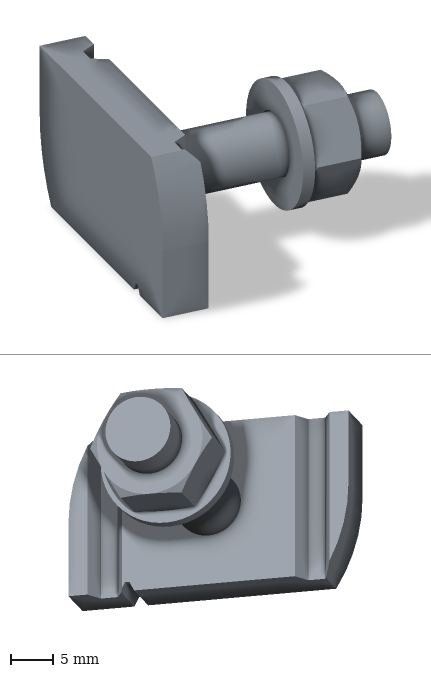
import cadquery as cq
import math

total_length = 36.0
head_length = 34.5
head_height = 20.0
head_thickness = 6.0
straight_side = 9.0
corner_inset = 3.25

groove_center = 12.78
groove_top_width = 4.3
groove_floor_width = 2.05
groove_depth = 1.95

notch_center = 10.0
notch_mouth_width = 1.7
notch_floor_width = 0.55
notch_depth = 1.1

shank_diameter = 8.0
shank_protrusion = 5.0

nut_across_flats = 13.0
nut_thickness = 6.8
nut_chamfer_angle = 30.0

washer_diameter = 16.0
washer_thickness = 1.6
washer_bore = 8.4

half_length = head_length / 2
half_height = head_height / 2
nut_outer_y = total_length - shank_protrusion
nut_inner_y = nut_outer_y - nut_thickness
washer_inner_y = nut_inner_y - washer_thickness


def plane_at(y):
    """Plane across the bolt axis, with its normal along +Y."""
    return cq.Workplane(cq.Plane(origin=(0, y, 0), xDir=(1, 0, 0), normal=(0, 1, 0)))


def trapezoid(plane, center, base, wide, narrow, depth):
    """Symmetric trapezoid whose wide side lies at height base; depth is signed."""
    return (
        cq.Workplane(plane)
        .moveTo(center - wide / 2, base)
        .lineTo(center - narrow / 2, base + depth)
        .lineTo(center + narrow / 2, base + depth)
        .lineTo(center + wide / 2, base)
        .close()
    )


def make_head_plate():
    """Plate with two diagonally opposite corners rounded so it can turn in a channel."""
    arc_rise = head_height - straight_side
    arc_radius = (arc_rise**2 + corner_inset**2) / (2 * corner_inset)
    half_sweep = math.asin(arc_rise / arc_radius) / 2
    arc_start_z = half_height - straight_side
    mid_x = half_length - arc_radius * (1 - math.cos(half_sweep))
    mid_z = arc_radius * math.sin(half_sweep) - arc_start_z
    corner_x = half_length - corner_inset
    return (
        cq.Workplane("XZ")
        .moveTo(-half_length, half_height)
        .lineTo(corner_x, half_height)
        .threePointArc((mid_x, mid_z), (half_length, -arc_start_z))
        .lineTo(half_length, -half_height)
        .lineTo(-corner_x, -half_height)
        .threePointArc((-mid_x, -mid_z), (-half_length, arc_start_z))
        .close()
        .extrude(-head_thickness)
    )


def make_bolt():
    """T-head with a plain shank, two grooves in the clamping face and an edge notch."""
    bolt = make_head_plate()
    for side in (-1, 1):
        groove = trapezoid(
            "XY", side * groove_center, head_thickness,
            groove_top_width, groove_floor_width, -groove_depth,
        ).extrude(half_height, both=True)
        bolt = bolt.cut(groove)
    notch = trapezoid(
        "XZ", notch_center, -half_height, notch_mouth_width, notch_floor_width, notch_depth
    ).extrude(-head_thickness)
    shank_length = total_length - head_thickness
    shank = plane_at(head_thickness).circle(shank_diameter / 2).extrude(shank_length)
    return bolt.cut(notch).union(shank)


def make_washer():
    """Flat washer with clearance around the shank."""
    return (
        plane_at(washer_inner_y)
        .circle(washer_diameter / 2)
        .circle(washer_bore / 2)
        .extrude(washer_thickness)
    )


def make_nut():
    """Hexagon nut, corners along X, with conical chamfers at both ends."""
    corner_radius = nut_across_flats / 2 / math.cos(math.pi / 6)
    face_radius = nut_across_flats / 2
    chamfer_drop = (corner_radius - face_radius) * math.tan(math.radians(nut_chamfer_angle))
    hexagon = plane_at(nut_inner_y).polygon(6, 2 * corner_radius).extrude(nut_thickness)
    chamfer_envelope = (
        cq.Workplane("XY")
        .moveTo(0, nut_inner_y)
        .lineTo(face_radius, nut_inner_y)
        .lineTo(corner_radius, nut_inner_y + chamfer_drop)
        .lineTo(corner_radius, nut_outer_y - chamfer_drop)
        .lineTo(face_radius, nut_outer_y)
        .lineTo(0, nut_outer_y)
        .close()
        .revolve(360, (0, 0, 0), (0, 1, 0))
    )
    bore = plane_at(nut_inner_y).circle(shank_diameter / 2).extrude(nut_thickness)
    return hexagon.intersect(chamfer_envelope).cut(bore)


bolt = make_bolt()
washer = make_washer()
nut = make_nut()

result = cq.Compound.makeCompound([bolt.val(), washer.val(), nut.val()])